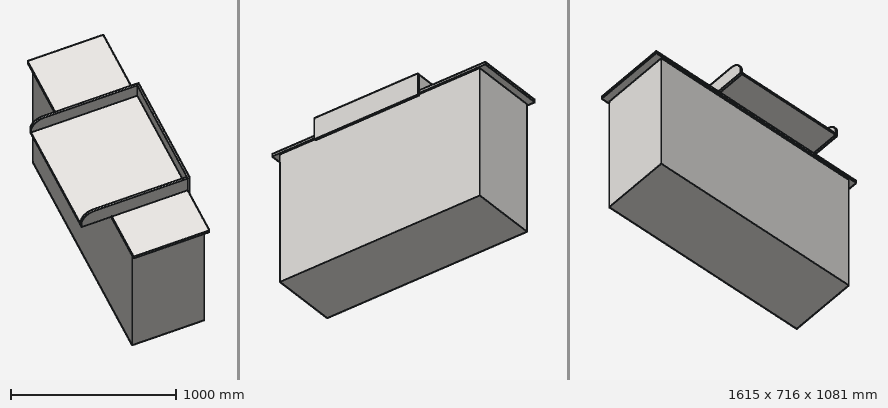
import cadquery as cq

TOP_WIDTH = 1615.0
TOP_DEPTH = 500.0
TOP_THICKNESS = 20.0
END_OVERHANG = 50.0
EDGE_OVERHANG = 11.0
CABINET_HEIGHT = 943.0

PANEL_THICKNESS = 15.0
TRAY_WIDTH = 783.0
TRAY_HEIGHT = 118.0
SIDE_DEPTH = 701.0
SIDE_CORNER_RADIUS = 85.0
TRAY_OFFSET = 85.0
BACK_DROP = 39.0

TOP_SURFACE = CABINET_HEIGHT + TOP_THICKNESS


def block(width, depth, height, back_y, bottom_z, center_x=0):
    """Box centred at center_x, reaching forward (-Y) from back_y and up from bottom_z."""
    return (
        cq.Workplane("XY")
        .box(width, depth, height, centered=(True, False, False))
        .translate((center_x, back_y - depth, bottom_z))
    )


def make_counter():
    cabinet = block(
        TOP_WIDTH - 2 * END_OVERHANG,
        TOP_DEPTH - 2 * EDGE_OVERHANG,
        CABINET_HEIGHT,
        -EDGE_OVERHANG,
        0,
    )
    top = block(TOP_WIDTH, TOP_DEPTH, TOP_THICKNESS, 0, CABINET_HEIGHT)
    return cabinet.union(top)


def make_tray_floor():
    floor_width = TRAY_WIDTH - 2 * PANEL_THICKNESS
    return block(floor_width, SIDE_DEPTH, PANEL_THICKNESS, 0, TOP_SURFACE, TRAY_OFFSET)


def make_tray_side(center_x):
    """Upright side panel with its upper front corner rounded."""
    panel = block(PANEL_THICKNESS, SIDE_DEPTH, TRAY_HEIGHT, 0, TOP_SURFACE, center_x)
    return panel.edges("|X").edges(">Z").edges("<Y").fillet(SIDE_CORNER_RADIUS)


def make_tray_back():
    """Full-width panel behind the sides, hanging past the edge of the top."""
    return block(
        TRAY_WIDTH,
        PANEL_THICKNESS,
        TRAY_HEIGHT + BACK_DROP,
        PANEL_THICKNESS,
        TOP_SURFACE - BACK_DROP,
        TRAY_OFFSET,
    )


counter = make_counter()
tray_floor = make_tray_floor()
tray_back = make_tray_back()

side_reach = (TRAY_WIDTH - PANEL_THICKNESS) / 2
tray_sides = []
for direction in (-1, 1):
    tray_sides.append(make_tray_side(TRAY_OFFSET + direction * side_reach))

result = cq.Compound.makeCompound(
    [
        counter.solids().val(),
        tray_floor.val(),
        tray_back.val(),
        *[side.val() for side in tray_sides],
    ]
)